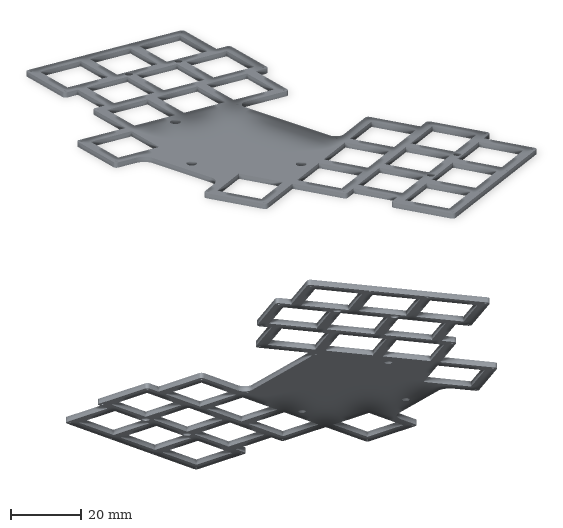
import cadquery as cq
import math

width = 161.0
depth = 86.5
thickness = 1.6

tilt_degrees = 15
tilt = math.radians(tilt_degrees)
column_rows = 3
cutout = 14.0
frame_size = 20.0
frame_margin = frame_size / 2
three_key_span = 51.0
pitch = three_key_span / 3
stagger = 4.5
corner_radius = 1.0

panel_front = -33.6
panel_back = 11.9
front_fillet = 4.0
back_fillet = 2.5

screw_diameter = 2.3
rim_diameter = 3.0
rim_depth = 0.5
front_screw_y = -29.5
side_screw_x = 23.7
side_screw_y = -9.3

pin_diameter = 0.6
corner_pin_inset = 1.1
side_pin_inset = 0.6
panel_pin_x = 18.7
panel_pin_y = 11.8


def to_part(u, v):
    """Position in the part of a point of the tilted frame."""
    x = u * math.cos(tilt) + v * math.sin(tilt)
    y = v * math.cos(tilt) - u * math.sin(tilt)
    return x, y


def to_tilted(x, y):
    """Position in the tilted frame of a point of the part."""
    u = x * math.cos(tilt) - y * math.sin(tilt)
    v = x * math.sin(tilt) + y * math.cos(tilt)
    return u, v


def frame_side_x(u, y):
    """X of the frame side that runs along v at the given u, where it reaches the given Y."""
    return (u + y * math.sin(tilt)) / math.cos(tilt)


def both_hands(points):
    """The points of the left hand followed by their mirror images."""
    return points + [(-x, y) for x, y in points]


arc_u = frame_margin - corner_radius
arc_v = pitch + arc_u
outer_x = -width / 2 + corner_radius - to_part(-arc_u, -arc_v)[0]
outer_y = depth / 2 - corner_radius - to_part(-arc_u, arc_v)[1]

outer_u, outer_v = to_tilted(outer_x, outer_y)
middle_u = outer_u + pitch
middle_v = outer_v + stagger
inner_u = middle_u + pitch
inner_v = outer_v
thumb_u = inner_u + pitch
thumb_v = inner_v - 2 * pitch

column_centres = [(outer_u, outer_v), (middle_u, middle_v), (inner_u, inner_v)]
key_centres = [(u, v + step * pitch) for u, v in column_centres for step in (-1, 0, 1)]
key_centres.append((thumb_u, thumb_v))


def tilted_block(u, v, across, along):
    """Block of plate thickness, centred on (u, v)."""
    block = cq.Workplane("XY").box(across, along, thickness, centered=(True, True, False))
    block = block.rotate((0, 0, 0), (0, 0, 1), -tilt_degrees)
    return block.translate((*to_part(u, v), 0))


def column_frame(u, v, rows):
    """Rounded outline of a column with the given number of keys."""
    along = (rows - 1) * pitch + frame_size
    return tilted_block(u, v, frame_size, along).edges("|Z").fillet(corner_radius)


def cut_holes(plate, points, diameter, hole_depth=thickness):
    """Cut round holes down from the top face."""
    top = cq.Workplane("XY", origin=(0, 0, thickness))
    return plate.cut(top.pushPoints(points).circle(diameter / 2).extrude(-hole_depth))


def fillet_at(plate, points, radius):
    """Round the upright edges that stand at the points."""
    reach = 0.2
    for x, y in points:
        low = (x - reach, y - reach, -reach)
        high = (x + reach, y + reach, thickness + reach)
        plate = plate.edges(cq.selectors.BoxSelector(low, high)).fillet(radius)
    return plate


hand = column_frame(thumb_u, thumb_v, 1)
for u, v in column_centres:
    hand = hand.union(column_frame(u, v, column_rows))

back_corner = (frame_side_x(inner_u + frame_margin, panel_back), panel_back)
front_corner = (frame_side_x(thumb_u + frame_margin, panel_front), panel_front)
left_side = [
    back_corner,
    to_part(inner_u, inner_v - pitch),
    to_part(thumb_u, thumb_v),
    front_corner,
]
right_side = [(-x, y) for x, y in reversed(left_side)]
panel = cq.Workplane("XY").polyline(left_side + right_side).close().extrude(thickness)

plate = hand.union(hand.mirror("YZ")).union(panel)
plate = fillet_at(plate, both_hands([back_corner]), back_fillet)
plate = fillet_at(plate, both_hands([front_corner]), front_fillet)

for u, v in key_centres:
    opening = tilted_block(u, v, cutout, cutout)
    plate = plate.cut(opening).cut(opening.mirror("YZ"))

rib_screws = [to_part(outer_u + pitch / 2, middle_v + side * pitch / 2) for side in (-1, 1)]
plate = cut_holes(plate, both_hands(rib_screws), screw_diameter)

panel_screws = [(0, front_screw_y)] + both_hands([(-side_screw_x, side_screw_y)])
plate = cut_holes(plate, panel_screws, screw_diameter)
plate = cut_holes(plate, panel_screws, rim_diameter, rim_depth)

pin_u = frame_margin - corner_pin_inset
pin_v = pitch + pin_u
tilted_pins = [
    (outer_u - pin_u, outer_v - pin_v),
    (outer_u + pin_u, outer_v - pin_v),
    (outer_u - pin_u, outer_v + pin_v),
    (middle_u - pin_u, middle_v + pin_v),
    (middle_u + pin_u, middle_v + pin_v),
    (inner_u + pin_u, inner_v + pin_v),
    (inner_u - pin_u, inner_v - pin_v),
    (thumb_u - pin_u, thumb_v - pin_u),
    (thumb_u + pin_u, thumb_v - pin_u),
]
side_pin_u = outer_u - frame_margin + side_pin_inset
tilted_pins += [(side_pin_u, outer_v + side * pitch / 2) for side in (-1, 1)]
pins = [to_part(u, v) for u, v in tilted_pins]
pins.append((-panel_pin_x, panel_pin_y))
plate = cut_holes(plate, both_hands(pins), pin_diameter)

result = plate